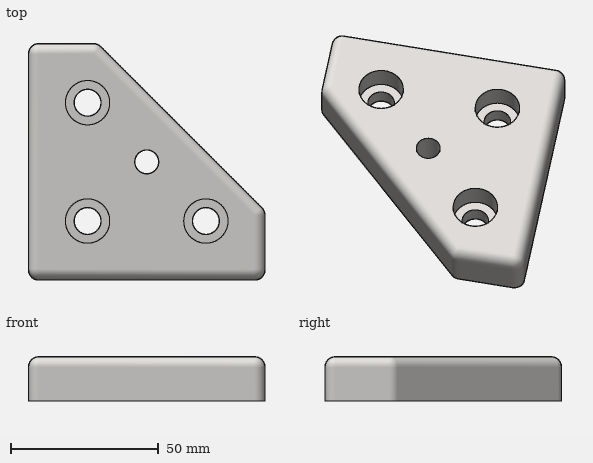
import cadquery as cq
import math

side = 80.0
thickness = 15.0
half_side = side / 2
short_side = half_side * (1 - math.tan(math.radians(22.5)))
edge_radius = 3.5

screw_spacing = 40.0
screw_hole_diameter = 9.0
counterbore_diameter = 15.0
counterbore_depth = 9.0

centre_hole_diameter = 8.0


def make_plate():
    """Five-sided plate with rounded upright and top edges and a sharp bottom."""
    diagonal_start = -half_side + short_side
    outline = [
        (-half_side, -half_side),
        (half_side, -half_side),
        (half_side, diagonal_start),
        (diagonal_start, half_side),
        (-half_side, half_side),
    ]
    plate = cq.Workplane("XY").polyline(outline).close().extrude(thickness)
    return plate.edges("|Z or >Z").fillet(edge_radius)


def cut_screw_holes(plate):
    offset = screw_spacing / 2
    positions = [(-offset, -offset), (offset, -offset), (-offset, offset)]
    return (
        plate.faces(">Z")
        .workplane(origin=(0, 0, thickness))
        .pushPoints(positions)
        .cboreHole(screw_hole_diameter, counterbore_diameter, counterbore_depth)
    )


def cut_centre_hole(plate):
    return plate.faces(">Z").workplane(origin=(0, 0, thickness)).hole(centre_hole_diameter)


result = cut_centre_hole(cut_screw_holes(make_plate()))